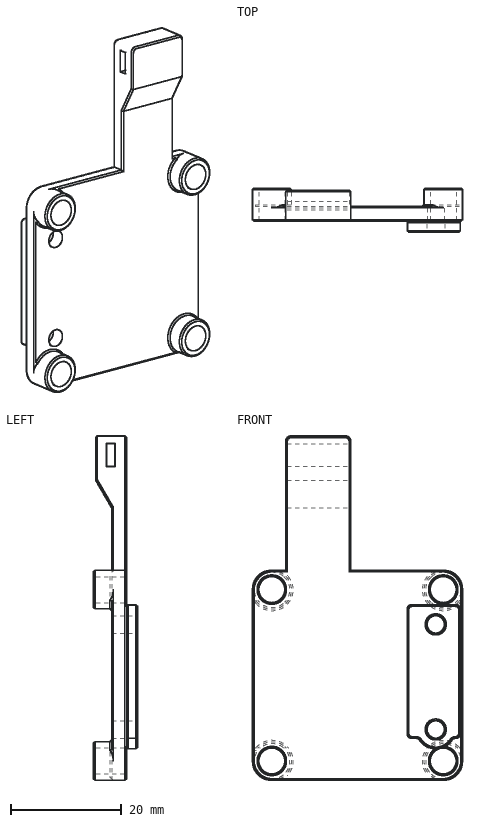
import cadquery as cq

EDGE = 0.3

PLATE_SIDE = 38.0
PLATE_THICKNESS = 2.7
BOSS_RADIUS = 3.5
BOSS_LENGTH = 6.0
BOSS_HOLE_DIAMETER = 4.7
ROOT_FLARE = 0.3

OVERALL_HEIGHT = 62.29
TAB_LEFT = 6.0
TAB_WIDTH = 11.8
TAB_CORNER_RADIUS = 1.0
HEAD_THICKNESS = 5.6
HEAD_BOTTOM = 54.3
SLOPE_BOTTOM = 49.3

SLOT_NEAR_Y = 2.1
SLOT_DEPTH = 1.5
SLOT_BOTTOM = 56.8
SLOT_HEIGHT = 4.1

CLAMP_THICKNESS = 2.0
CLAMP_LEFT = 28.0
CLAMP_WIDTH = 9.6
CLAMP_BOTTOM = 7.6
CLAMP_HEIGHT = 24.15
CLAMP_CORNER_RADIUS = 0.8
LUG_RADIUS = 3.5
LUG_BLEND_RADIUS = 0.8

SCREW_X = 33.15
LOWER_SCREW_Z = 9.2
SCREW_SPACING = 19.0
CLAMP_HOLE_DIAMETER = 3.2
PLATE_HOLE_DIAMETER = 3.15

BOSS_OFFSETS = (BOSS_RADIUS, PLATE_SIDE - BOSS_RADIUS)
BOSS_CENTRES = [(x, z) for x in BOSS_OFFSETS for z in BOSS_OFFSETS]
LOWER_SCREW = (SCREW_X, LOWER_SCREW_Z)
UPPER_SCREW = (SCREW_X, LOWER_SCREW_Z + SCREW_SPACING)
SCREW_CENTRES = [LOWER_SCREW, UPPER_SCREW]
ALONG_Y = cq.Vector(0, 1, 0)


def block(x, y, z, width, depth, height):
    """Box with its lowest corner at (x, y, z)."""
    return cq.Workplane("XY").box(width, depth, height, centered=False).translate((x, y, z))


def cylinder(centre, start_y, length, radius):
    x, z = centre
    return cq.Workplane(cq.Solid.makeCylinder(radius, length, cq.Vector(x, start_y, z), ALONG_Y))


def narrowing_cone(centre, start_y, length, end_radius):
    """45 degree cone along +Y that narrows to end_radius."""
    x, z = centre
    start = cq.Vector(x, start_y, z)
    return cq.Workplane(cq.Solid.makeCone(end_radius + length, end_radius, length, start, ALONG_Y))


def hole(centre, start_y, length, diameter):
    """Drill with a chamfered mouth at start_y."""
    radius = diameter / 2
    return cylinder(centre, start_y, length, radius).union(narrowing_cone(centre, start_y, EDGE, radius))


def make_tab():
    """Upright tab whose upper end thickens towards the boss side."""
    tab_bottom = PLATE_SIDE - BOSS_RADIUS
    profile = [
        (0, tab_bottom),
        (0, OVERALL_HEIGHT),
        (HEAD_THICKNESS, OVERALL_HEIGHT),
        (HEAD_THICKNESS, HEAD_BOTTOM),
        (PLATE_THICKNESS, SLOPE_BOTTOM),
        (PLATE_THICKNESS, tab_bottom),
    ]
    tab = cq.Workplane("YZ", origin=(TAB_LEFT, 0, 0)).polyline(profile).close().extrude(TAB_WIDTH)
    return tab.edges("|Y and >Z").fillet(TAB_CORNER_RADIUS)


def chamfer_back(plate):
    """Chamfer the back outline but keep the two bend lines of the tab slope sharp."""
    least_back_normal = 0.5
    back_faces = [face for face in plate.faces().vals() if face.normalAt().y > least_back_normal]
    bend_lines = cq.selectors.BoxSelector(
        (TAB_LEFT + EDGE, 0, SLOPE_BOTTOM - EDGE),
        (TAB_LEFT + TAB_WIDTH - EDGE, HEAD_THICKNESS + EDGE, HEAD_BOTTOM + EDGE),
    )
    outline = plate.newObject(back_faces).edges(cq.selectors.InverseSelector(bend_lines))
    return outline.chamfer(EDGE)


def make_plate():
    """Square plate with its tab, chamfered around the front and back outlines."""
    square = block(0, 0, 0, PLATE_SIDE, PLATE_THICKNESS, PLATE_SIDE)
    square = square.edges("|Y").fillet(BOSS_RADIUS)
    plate = square.union(make_tab())
    return chamfer_back(plate.faces("<Y").chamfer(EDGE))


def add_bosses(plate):
    """Replace the plate corners behind the front chamfer with flared, rounded bosses."""
    inset_side = PLATE_SIDE - 2 * EDGE
    flare_area = block(EDGE, PLATE_THICKNESS - ROOT_FLARE, EDGE, inset_side, 2 * ROOT_FLARE, inset_side)
    flare_area = flare_area.edges("|Y").fillet(BOSS_RADIUS - EDGE).faces(">Y").chamfer(ROOT_FLARE)
    body_length = BOSS_LENGTH - EDGE
    for x in (0, PLATE_SIDE - BOSS_RADIUS):
        for z in (0, PLATE_SIDE - BOSS_RADIUS):
            plate = plate.cut(block(x, EDGE, z, BOSS_RADIUS, PLATE_THICKNESS, BOSS_RADIUS))
    for centre in BOSS_CENTRES:
        boss = cylinder(centre, EDGE, body_length, BOSS_RADIUS).faces(">Y").chamfer(EDGE)
        flare = narrowing_cone(centre, PLATE_THICKNESS, ROOT_FLARE, BOSS_RADIUS).intersect(flare_area)
        plate = plate.union(boss).union(flare)
    return plate


def make_base():
    base = add_bosses(make_plate())
    for centre in BOSS_CENTRES:
        base = base.cut(hole(centre, 0, BOSS_LENGTH, BOSS_HOLE_DIAMETER))
    for centre in SCREW_CENTRES:
        base = base.cut(cylinder(centre, 0, PLATE_THICKNESS, PLATE_HOLE_DIAMETER / 2))
    slot = block(TAB_LEFT, SLOT_NEAR_Y, SLOT_BOTTOM, TAB_WIDTH, SLOT_DEPTH, SLOT_HEIGHT)
    return base.cut(slot)


def make_clamp():
    """Strip with rounded corners and a lug, chamfered on both faces."""
    front = -CLAMP_THICKNESS
    strip = block(CLAMP_LEFT, front, CLAMP_BOTTOM, CLAMP_WIDTH, CLAMP_THICKNESS, CLAMP_HEIGHT)
    strip = strip.edges("|Y").fillet(CLAMP_CORNER_RADIUS)
    clamp = strip.union(cylinder(LOWER_SCREW, front, CLAMP_THICKNESS, LUG_RADIUS))
    lug_corners = cq.selectors.BoxSelector(
        (SCREW_X - LUG_RADIUS, front, CLAMP_BOTTOM - EDGE),
        (SCREW_X + LUG_RADIUS, 0, CLAMP_BOTTOM + EDGE),
    )
    clamp = clamp.edges("|Y").edges(lug_corners).fillet(LUG_BLEND_RADIUS)
    clamp = clamp.faces("<Y or >Y").chamfer(EDGE)
    for centre in SCREW_CENTRES:
        clamp = clamp.cut(hole(centre, front, CLAMP_THICKNESS, CLAMP_HOLE_DIAMETER))
    return clamp


base = make_base()
clamp = make_clamp()
result = cq.Compound.makeCompound([base.val(), clamp.val()])